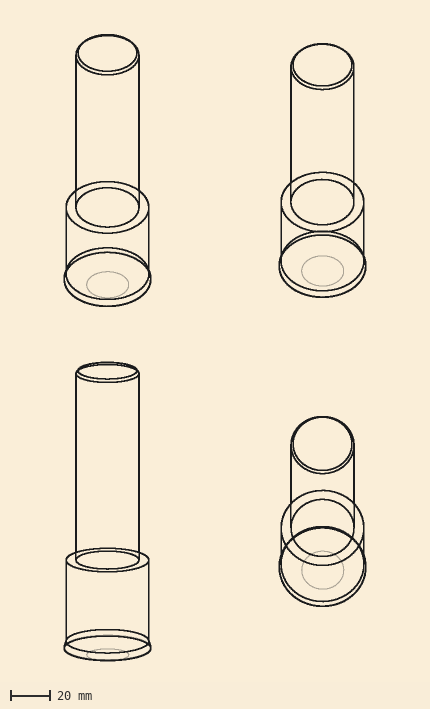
import cadquery as cq

total_height = 150.0
shoulder_height = 50.0

shank_diameter = 32.0
collar_diameter = 42.0
chamfer_height = 1.5
chamfer_width = 1.0

rim_diameter = 44.0
foot_diameter = 21.3
foot_height = 3.3
rim_thickness = 0.6
flare_height = 3.2

rim_top = foot_height + rim_thickness
tip_height = rim_top + flare_height


def revolve_profile(points):
    """Revolve a closed outline of (radius, height) points about the Z axis."""
    return cq.Workplane("XZ").polyline(points).close().revolve(360, (0, 0, 0), (0, 1, 0))


def make_tip():
    """Make the flared tip, which closes the lower end of the collar."""
    rim_radius = rim_diameter / 2
    return revolve_profile([
        (0, 0),
        (foot_diameter / 2, 0),
        (rim_radius, foot_height),
        (rim_radius, rim_top),
        (collar_diameter / 2, tip_height),
        (0, tip_height),
    ])


def make_holder():
    """Make the collar and shank, which stand on the flat top of the tip."""
    shank_radius = shank_diameter / 2
    collar_radius = collar_diameter / 2
    return revolve_profile([
        (0, tip_height),
        (collar_radius, tip_height),
        (collar_radius, shoulder_height),
        (shank_radius, shoulder_height),
        (shank_radius, total_height - chamfer_height),
        (shank_radius - chamfer_width, total_height),
        (0, total_height),
    ])


tip = make_tip()
holder = make_holder()

result = cq.Compound.makeCompound([tip.val(), holder.val()])